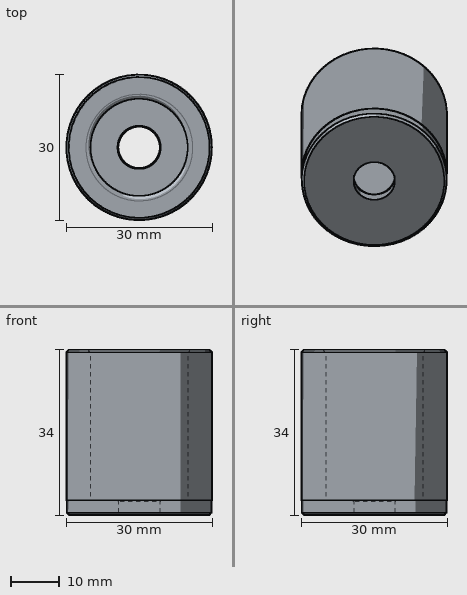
import cadquery as cq

height = 34.0
outer_diameter = 30.0
outer_chamfer = 0.5

band_height = 3.0
band_diameter = 29.85
band_chamfer = 0.5

bore_diameter = 20.0
bore_mouth_radius = 1.0
floor_thickness = 3.0
bore_depth = height - floor_thickness

hole_diameter = 8.5
hole_chamfer = 0.2


def make_body():
    """Cylinder with a reduced band below and chamfers at both ends."""
    band = cq.Workplane("XY").circle(band_diameter / 2).extrude(band_height)
    band = band.faces("<Z").chamfer(band_chamfer)
    barrel = (
        cq.Workplane("XY", origin=(0, 0, band_height))
        .circle(outer_diameter / 2)
        .extrude(height - band_height)
        .faces(">Z")
        .chamfer(outer_chamfer)
    )
    return band.union(barrel)


def cut_bore(body):
    """Blind bore from the top, its mouth rounded over."""
    bored = body.faces(">Z").workplane().hole(bore_diameter, bore_depth)
    mouth = bored.faces(">Z").edges(cq.selectors.RadiusNthSelector(0))
    return mouth.fillet(bore_mouth_radius)


def cut_floor_hole(body):
    """Hole through the floor, chamfered where it meets the bore."""
    hole = cq.Workplane("XY").circle(hole_diameter / 2).extrude(floor_thickness)
    top_radius = hole_diameter / 2 + hole_chamfer
    countersink = cq.Workplane(
        cq.Solid.makeCone(
            hole_diameter / 2,
            top_radius,
            hole_chamfer,
            pnt=cq.Vector(0, 0, floor_thickness - hole_chamfer),
        )
    )
    return body.cut(hole).cut(countersink)


result = cut_floor_hole(cut_bore(make_body()))